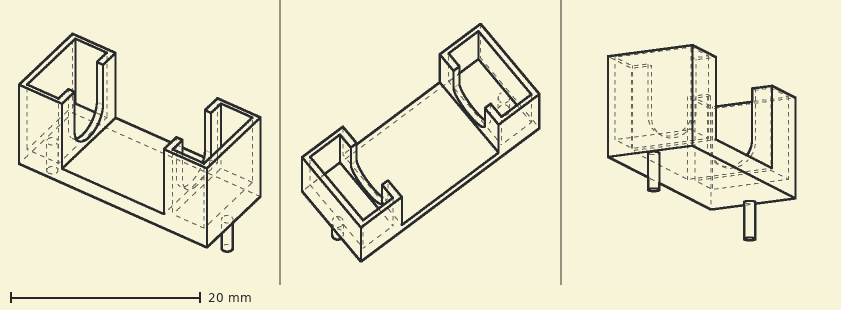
import cadquery as cq

length = 24.0
width = 10.0
height = 11.0
floor_thickness = 2.0
tower_length = 5.5
tower_height = height - floor_thickness

outer_wall = 0.7
inner_wall = 0.8
side_wall = 0.5

slot_width = 5.3
slot_straight_depth = 5.55

pin_diameter = 1.2
pin_length = 4.0
pin_spacing = 22.35


def box_on(x_size, y_size, z_size, x_center, z_bottom):
    """Box centred on Y, standing on the given height."""
    return (
        cq.Workplane("XY")
        .box(x_size, y_size, z_size, centered=(True, True, False))
        .translate((x_center, 0, z_bottom))
    )


def tower_pocket(side):
    pocket_length = tower_length - outer_wall - inner_wall
    x_center = side * (length / 2 - outer_wall - pocket_length / 2)
    return box_on(pocket_length, width - 2 * side_wall, tower_height, x_center, floor_thickness)


def wall_slot(side):
    x_center = side * (length / 2 - tower_length + inner_wall / 2)
    arc_center_z = height - slot_straight_depth
    straight = box_on(inner_wall, slot_width, slot_straight_depth, x_center, arc_center_z)
    round_bottom = (
        cq.Workplane("YZ", origin=(x_center - inner_wall / 2, 0, arc_center_z))
        .circle(slot_width / 2)
        .extrude(inner_wall)
    )
    return straight.union(round_bottom)


def pin(side):
    return (
        cq.Workplane("XY", origin=(side * pin_spacing / 2, 0, -pin_length))
        .circle(pin_diameter / 2)
        .extrude(pin_length)
    )


gap_length = length - 2 * tower_length
result = box_on(length, width, height, 0, 0).cut(
    box_on(gap_length, width, tower_height, 0, floor_thickness)
)

for side in (-1, 1):
    result = result.cut(tower_pocket(side)).cut(wall_slot(side)).union(pin(side))